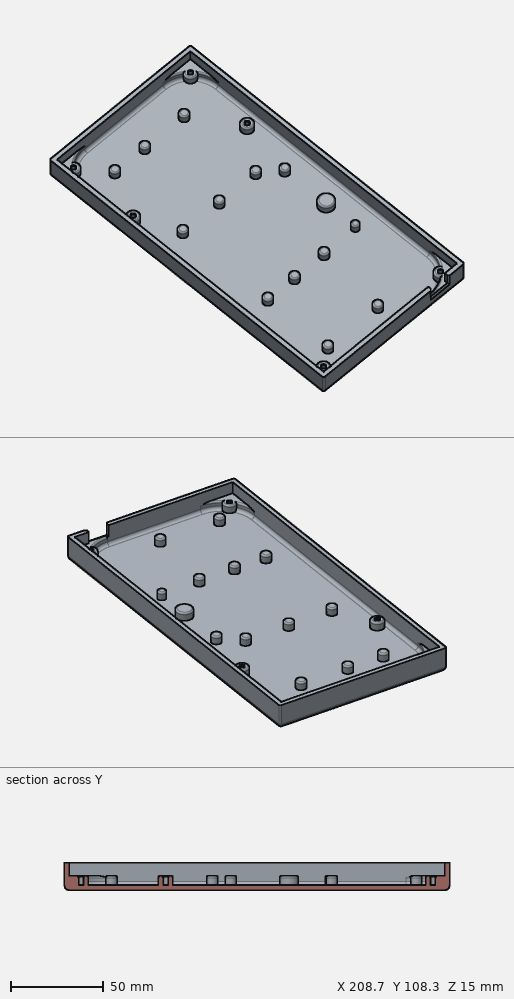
import cadquery as cq

LENGTH = 208.7
WIDTH = 108.3
HEIGHT = 15.0
WALL = 3.0
FLOOR = 3.0
VERTICAL_EDGE_RADIUS = 1.0
BOTTOM_EDGE_RADIUS = 3.0

CAVITY_LENGTH = LENGTH - 2 * WALL
CAVITY_WIDTH = WIDTH - 2 * WALL
CAVITY_CORNER_RADIUS = 21.0
FLOOR_FILLET = 2.0

POST_HEIGHT = 5.0
POST_TOP = FLOOR + POST_HEIGHT
TOP_ROUNDING = 1.0
ROUNDING_BASE = POST_TOP - TOP_ROUNDING

ARC_CENTRE_X = CAVITY_LENGTH / 2 - CAVITY_CORNER_RADIUS
ARC_CENTRE_Y = CAVITY_WIDTH / 2 - CAVITY_CORNER_RADIUS
SHELF_OVERLAP = WALL / 2

PIN_DIAMETER = 6.0
PIN_COLUMNS = {
    -78.7: (23.4, -6.9, -29.8),
    -24.2: (23.4, -4.5, -32.5),
    -14.2: (35.7,),
    40.5: (10.6, -12.1, -32.5),
    86.2: (5.8, -32.5),
}
SMALL_PIN_DIAMETER = 5.0
SMALL_PIN_CENTRE = (39.5, 35.7)
LARGE_PIN_DIAMETER = 10.0
LARGE_PIN_CENTRE = (17.3, 35.7)

SCREW_POST_DIAMETER = 8.0
SCREW_HOLE_DIAMETER = 2.5
COUNTERBORE_DIAMETER = 3.1
COUNTERBORE_DEPTH = 0.6
CORNER_SCREW_INSET = 6.3
CORNER_SCREW_X = CAVITY_LENGTH / 2 - CORNER_SCREW_INSET
CORNER_SCREW_Y = CAVITY_WIDTH / 2 - CORNER_SCREW_INSET
SCREW_CENTRES = [
    (CORNER_SCREW_X, CORNER_SCREW_Y),
    (-CORNER_SCREW_X, CORNER_SCREW_Y),
    (-CORNER_SCREW_X, -CORNER_SCREW_Y),
    (CORNER_SCREW_X, -CORNER_SCREW_Y),
    (-49.5, 42.4),
    (-49.5, -45.3),
]

OPENING_Y_MIN = 29.2
OPENING_Y_MAX = 42.0
OPENING_CHAMFER = 1.0

PICK_MARGIN = 0.2


def make_cavity():
    """Rectangular space with, below it, a round-cornered space with a filleted floor."""
    upper = (
        cq.Workplane("XY", origin=(0, 0, ROUNDING_BASE))
        .rect(CAVITY_LENGTH, CAVITY_WIDTH)
        .extrude(HEIGHT - ROUNDING_BASE)
    )
    lower = (
        cq.Workplane("XY", origin=(0, 0, FLOOR))
        .rect(CAVITY_LENGTH, CAVITY_WIDTH)
        .extrude(HEIGHT - FLOOR)
        .edges("|Z")
        .fillet(CAVITY_CORNER_RADIUS)
        .faces("<Z")
        .edges()
        .fillet(FLOOR_FILLET)
    )
    return upper.union(lower)


def make_shell():
    """Open tray with rounded outer edges."""
    block = (
        cq.Workplane("XY")
        .box(LENGTH, WIDTH, HEIGHT, centered=(True, True, False))
        .edges("|Z")
        .fillet(VERTICAL_EDGE_RADIUS)
        .faces("<Z")
        .edges()
        .fillet(BOTTOM_EDGE_RADIUS)
    )
    return block.cut(make_cavity())


def cut_opening(shell):
    """Cut the cable opening down to shelf level and chamfer its edges on the outer face."""
    outer_x = LENGTH / 2
    opening = (
        cq.Workplane("XY")
        .box(2 * WALL, OPENING_Y_MAX - OPENING_Y_MIN, HEIGHT - POST_TOP, centered=(True, False, False))
        .translate((outer_x, OPENING_Y_MIN, POST_TOP))
    )
    outer_edges = cq.selectors.BoxSelector(
        (outer_x - PICK_MARGIN, OPENING_Y_MIN - PICK_MARGIN, POST_TOP - PICK_MARGIN),
        (outer_x + PICK_MARGIN, OPENING_Y_MAX + PICK_MARGIN, HEIGHT - PICK_MARGIN),
    )
    opened = shell.cut(opening).edges(outer_edges).chamfer(OPENING_CHAMFER)

    shelf_seat = (
        cq.Workplane("XY")
        .box(SHELF_OVERLAP, OPENING_Y_MAX - ARC_CENTRE_Y, TOP_ROUNDING, centered=False)
        .translate((CAVITY_LENGTH / 2, ARC_CENTRE_Y, ROUNDING_BASE))
    )
    return opened.cut(shelf_seat)


def make_corner_shelf():
    """Shelf of the +X +Y corner, reaching into both walls, with its arc edge rounded."""
    shelf_side = CAVITY_CORNER_RADIUS + SHELF_OVERLAP
    base = cq.Workplane("XY", origin=(ARC_CENTRE_X, ARC_CENTRE_Y, FLOOR))
    round_space = base.circle(CAVITY_CORNER_RADIUS).extrude(POST_HEIGHT)
    return (
        base.rect(shelf_side, shelf_side, centered=False)
        .extrude(POST_HEIGHT)
        .cut(round_space)
        .faces(">Z")
        .edges("%CIRCLE")
        .fillet(TOP_ROUNDING)
    )


def add_corner_shelves(body):
    """Add the corner shelf and its mirror images in the other three corners."""
    right_shelf = make_corner_shelf()
    for shelf in (right_shelf, right_shelf.mirror("YZ")):
        body = body.union(shelf).union(shelf.mirror("XZ"))
    return body


def add_posts(body, diameter, centres):
    """Add round posts that stand on the floor and have a rounded top edge."""
    for x, y in centres:
        post = (
            cq.Workplane("XY", origin=(x, y, FLOOR))
            .circle(diameter / 2)
            .extrude(POST_HEIGHT)
            .faces(">Z")
            .edges()
            .fillet(TOP_ROUNDING)
        )
        body = body.union(post)
    return body


def cut_screw_holes(body):
    """Cut a blind hole down to floor level, with a shallow counterbore, in each screw post."""
    holes = (
        cq.Workplane("XY", origin=(0, 0, FLOOR))
        .pushPoints(SCREW_CENTRES)
        .circle(SCREW_HOLE_DIAMETER / 2)
        .extrude(POST_HEIGHT)
    )
    counterbores = (
        cq.Workplane("XY", origin=(0, 0, POST_TOP - COUNTERBORE_DEPTH))
        .pushPoints(SCREW_CENTRES)
        .circle(COUNTERBORE_DIAMETER / 2)
        .extrude(COUNTERBORE_DEPTH)
    )
    return body.cut(holes).cut(counterbores)


pin_centres = [(x, y) for x, column in PIN_COLUMNS.items() for y in column]

tray = add_corner_shelves(cut_opening(make_shell()))
tray = add_posts(tray, PIN_DIAMETER, pin_centres)
tray = add_posts(tray, SMALL_PIN_DIAMETER, [SMALL_PIN_CENTRE])
tray = add_posts(tray, LARGE_PIN_DIAMETER, [LARGE_PIN_CENTRE])
tray = add_posts(tray, SCREW_POST_DIAMETER, SCREW_CENTRES)
result = cut_screw_holes(tray)